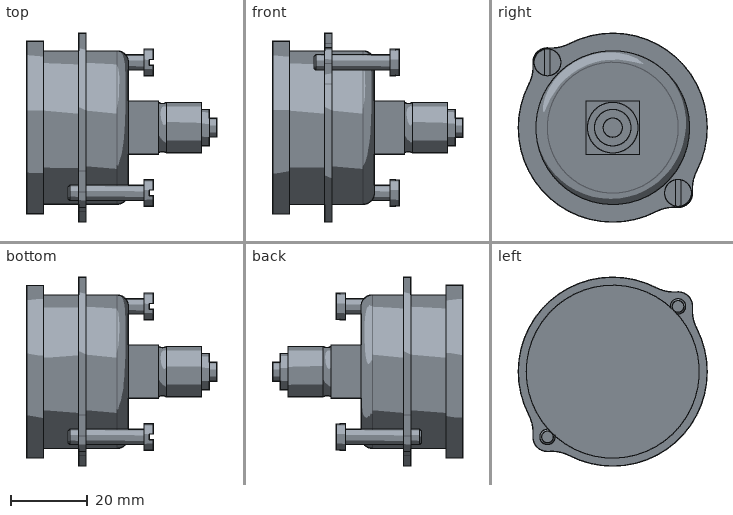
import cadquery as cq
import math

total_length = 49.5

flange_diameter = 45.0
flange_thickness = 4.45
case_diameter = 40.0
case_back_x = 26.5
case_edge_radius = 2.95

plate_diameter = 49.2
plate_thickness = 2.0
plate_front_x = 13.5
ear_radius = 3.8
ear_blend_radius = 10.0

screw_circle_radius = 24.0
screw_angles = (135, -45)
screw_tip_x = 10.75
screw_diameter = 4.0
screw_tip_chamfer = 0.5
screw_head_x = 30.5
screw_head_diameter = 7.0
screw_head_height = 2.48
slot_width = 1.45
slot_depth = 1.05

square_size = 13.95
square_back_x = 34.35
neck_length = 2.0
neck_groove_depth = 0.3
stem_diameter = 13.15
step_diameter = 9.5
step_length = 2.0
tip_diameter = 5.0
tip_length = 2.0


def cylinder(start_x, end_x, diameter):
    """Round bar along +X, centred on the axis."""
    return cq.Workplane("YZ", origin=(start_x, 0, 0)).circle(diameter / 2).extrude(end_x - start_x)


def polar(radius, angle):
    return (radius * math.cos(angle), radius * math.sin(angle))


def between(start, end, distance):
    """Point at the given distance from start towards end."""
    fraction = distance / math.dist(start, end)
    return tuple(a + fraction * (b - a) for a, b in zip(start, end))


def make_case():
    flange = cylinder(0, flange_thickness, flange_diameter)
    body = cylinder(0, case_back_x, case_diameter).faces(">X").edges().fillet(case_edge_radius)
    return flange.union(body)


def make_ear():
    """Ear on the +Y axis, with concave arcs tangent to the ear and to the plate rim."""
    plate_radius = plate_diameter / 2
    blend_distance = plate_radius + ear_blend_radius
    ear_distance = ear_radius + ear_blend_radius
    blend_angle = math.acos(
        (blend_distance**2 + screw_circle_radius**2 - ear_distance**2)
        / (2 * blend_distance * screw_circle_radius)
    )
    blend_center = polar(blend_distance, blend_angle)
    ear_center = (screw_circle_radius, 0)
    rim_point = polar(plate_radius, blend_angle)
    ear_point = between(blend_center, ear_center, ear_blend_radius)
    chord_middle = tuple((a + b) / 2 for a, b in zip(rim_point, ear_point))
    blend_middle = between(blend_center, chord_middle, ear_blend_radius)

    def mirrored(point):
        return (point[0], -point[1])

    return (
        cq.Workplane("YZ", origin=(plate_front_x, 0, 0))
        .lineTo(*rim_point)
        .threePointArc(blend_middle, ear_point)
        .threePointArc((screw_circle_radius + ear_radius, 0), mirrored(ear_point))
        .threePointArc(mirrored(blend_middle), mirrored(rim_point))
        .close()
        .extrude(plate_thickness)
    )


def make_screw():
    """Slotted cheese-head screw through the ear on the +Y axis, slot at 45 degrees to that axis."""
    shank = cylinder(screw_tip_x, screw_head_x, screw_diameter).faces("<X").chamfer(screw_tip_chamfer)
    head_back_x = screw_head_x + screw_head_height
    head = cylinder(screw_head_x, head_back_x, screw_head_diameter)
    slot = (
        cq.Workplane("YZ", origin=(head_back_x, 0, 0))
        .rect(slot_width, 2 * screw_head_diameter)
        .extrude(-slot_depth)
        .rotate((0, 0, 0), (1, 0, 0), 45)
    )
    return shank.union(head.cut(slot)).translate((0, screw_circle_radius, 0))


def make_clamp():
    clamp = cylinder(plate_front_x, plate_front_x + plate_thickness, plate_diameter)
    ear_with_screw = make_ear().union(make_screw())
    for angle in screw_angles:
        clamp = clamp.union(ear_with_screw.rotate((0, 0, 0), (1, 0, 0), angle))
    return clamp


def make_connection():
    square = (
        cq.Workplane("YZ", origin=(case_back_x, 0, 0))
        .rect(square_size, square_size)
        .extrude(square_back_x - case_back_x)
    )
    stem_radius = stem_diameter / 2
    neck_end_x = square_back_x + neck_length
    tip_start_x = total_length - tip_length
    step_start_x = tip_start_x - step_length
    stem = (
        cq.Workplane("XY")
        .moveTo(square_back_x, 0)
        .lineTo(square_back_x, stem_radius)
        .threePointArc(
            (square_back_x + neck_length / 2, stem_radius - neck_groove_depth),
            (neck_end_x, stem_radius),
        )
        .lineTo(step_start_x, stem_radius)
        .lineTo(step_start_x, step_diameter / 2)
        .lineTo(tip_start_x, step_diameter / 2)
        .lineTo(tip_start_x, tip_diameter / 2)
        .lineTo(total_length, tip_diameter / 2)
        .lineTo(total_length, 0)
        .close()
        .revolve(360, (0, 0, 0), (1, 0, 0))
    )
    return square.union(stem)


result = make_case().union(make_clamp()).union(make_connection())